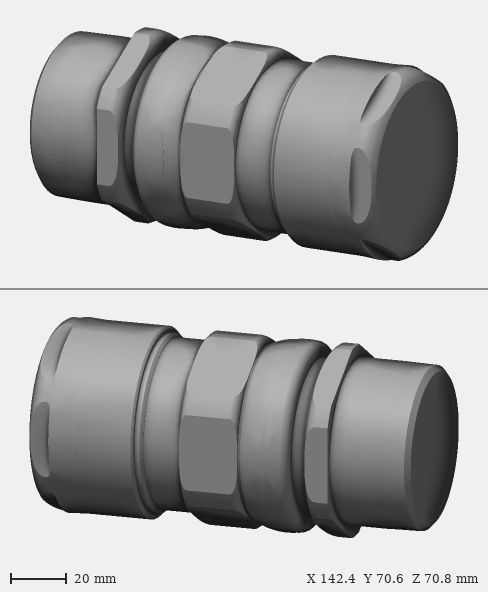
import cadquery as cq
import math


LENGTH = 142.4

QUARTER_TURN = 90
MIDDLE_FRONT = 135
MIDDLE_REAR = 45
MIDDLE_INNER_FRONT = 225

HEX_SIDES = 6
HEX_ACROSS_FLATS = 65.0
HEX_CORNER_DIAMETER = 70.8
HEX_CORNER_RADIUS = HEX_CORNER_DIAMETER / 2
HEX_FLAT_DISTANCE = HEX_ACROSS_FLATS / 2

SEAL_START = 28.9
FLANGE_START = 29.8
FLANGE_END = 38.7
COLLAR_START = 44.5
COLLAR_END = 62.8
NUT_START = 63.8
NUT_END = 85.6
REAR_SEAL_START = 99.4
SLEEVE_START = 102.4
CAP_START = 124.3

THREAD_RADIUS = 60.4 / 2
TIP_FACE_RADIUS = 55.7 / 2
TIP_RADIUS = 29.9
TIP_CHAMFER_LENGTH = 1.9
TAPER_END = 14.8
SEAL_BORE_RADIUS = 57.4 / 2
FLANGE_ROUND = 4.3
NECK_START_RADIUS = 28.2
NECK_WAIST_RADIUS = 27.8
NECK_WAIST = 40.5
NECK_END_RADIUS = 57.4 / 2

COLLAR_ROUND = 3.4
COLLAR_CROWN = 51.7
COLLAR_CROWN_DIAMETER = 69.8
COLLAR_CROWN_RADIUS = COLLAR_CROWN_DIAMETER / 2
COLLAR_ARC_RADIUS = 27.0
COLLAR_ARC_END = 62.0
COLLAR_END_RADIUS = 32.5
PAD_CENTRE = 53.8
PAD_WIDTH = 8.0
PAD_HEIGHT = 22.8
PAD_RAISE = 0.1

SHOULDER_RADIUS = 32.0
NUT_ROUND = 3.0
BARREL_RADIUS = 62.1 / 2
SPIGOT_RADIUS = 57.2 / 2

REAR_SEAL_RADIUS = 32.5
REAR_SEAL_CHAMFER = 1.1
SLEEVE_DIAMETER = 69.6
SLEEVE_RADIUS = SLEEVE_DIAMETER / 2
SLEEVE_CHAMFER = 0.7
CAP_CONE_START = 126.3
CAP_CONE_END = 135.8
CAP_FLAT_START = 133.9
CAP_FLAT_FILLET = 1.3
CAP_ROUND_RADIUS = 7.0


def spin(profile):
    """Solid of revolution about X from a closed half profile drawn as (x, radius)."""
    return profile.close().revolve(360, (0, 0, 0), (1, 0, 0))


def disc(start, end, radius):
    """Plain cylinder along X."""
    return cq.Workplane("YZ").workplane(offset=start).circle(radius).extrude(end - start)


def hex_prism(start, end):
    """Hexagonal prism along X with two flats facing +Y and -Y."""
    across_corners = HEX_ACROSS_FLATS / math.cos(math.pi / HEX_SIDES)
    prism = cq.Workplane("YZ").workplane(offset=start).polygon(HEX_SIDES, across_corners).extrude(end - start)
    return prism.rotate((0, 0, 0), (1, 0, 0), QUARTER_TURN)


def arc_point(centre_x, centre_radius, arc_radius, degrees):
    """Point on an arc, the angle counted from +X towards larger radius."""
    angle = math.radians(degrees)
    return (centre_x + arc_radius * math.cos(angle), centre_radius + arc_radius * math.sin(angle))


def rounded_hexagon(start, end, start_round, end_round):
    """Hexagon section with turned corners, rounded off at one or both ends."""
    top = HEX_CORNER_RADIUS
    profile = cq.Workplane("XY").moveTo(start, 0)
    if start_round:
        profile = profile.lineTo(start, top - start_round)
        middle = arc_point(start + start_round, top - start_round, start_round, MIDDLE_FRONT)
        profile = profile.threePointArc(middle, (start + start_round, top))
    else:
        profile = profile.lineTo(start, top)
    profile = profile.lineTo(end - end_round, top)
    middle = arc_point(end - end_round, top - end_round, end_round, MIDDLE_REAR)
    profile = profile.threePointArc(middle, (end, top - end_round)).lineTo(end, 0)
    return spin(profile).intersect(hex_prism(start, end))


def make_entry_body():
    """Threaded entry with chamfered tip, seal groove, hexagon flange and waisted neck."""
    thread = spin(
        cq.Workplane("XY")
        .polyline([
            (0, 0),
            (0, TIP_FACE_RADIUS),
            (TIP_CHAMFER_LENGTH, TIP_RADIUS),
            (TAPER_END, THREAD_RADIUS),
            (SEAL_START, THREAD_RADIUS),
            (SEAL_START, SEAL_BORE_RADIUS),
            (FLANGE_START, SEAL_BORE_RADIUS),
            (FLANGE_START, 0),
        ])
    )
    flange = rounded_hexagon(FLANGE_START, FLANGE_END, 0, FLANGE_ROUND)
    neck = spin(
        cq.Workplane("XY")
        .polyline([
            (FLANGE_END, 0),
            (FLANGE_END, NECK_START_RADIUS),
            (NECK_WAIST, NECK_WAIST_RADIUS),
            (COLLAR_START, NECK_END_RADIUS),
            (COLLAR_START, 0),
        ])
    )
    return thread.union(flange).union(neck)


def make_entry_seal():
    """Thin washer between the thread and the flange."""
    return disc(SEAL_START, FLANGE_START, THREAD_RADIUS).cut(
        disc(SEAL_START, FLANGE_START, SEAL_BORE_RADIUS)
    )


def crown_radius(x, raise_by):
    """Radius of the crowned collar surface, raised by a given amount, at x."""
    centre_depth = COLLAR_ARC_RADIUS - COLLAR_CROWN_RADIUS
    arc_radius = COLLAR_ARC_RADIUS + raise_by
    return math.sqrt(arc_radius ** 2 - (x - COLLAR_CROWN) ** 2) - centre_depth


def make_collar():
    """Crowned collar with a slightly raised elliptical pad on its -Y side."""
    round_end = COLLAR_START + COLLAR_ROUND
    round_end_radius = crown_radius(round_end, 0)
    round_base = round_end_radius - COLLAR_ROUND
    round_middle = arc_point(round_end, round_base, COLLAR_ROUND, MIDDLE_FRONT)
    ring = spin(
        cq.Workplane("XY")
        .moveTo(COLLAR_START, 0)
        .lineTo(COLLAR_START, round_base)
        .threePointArc(round_middle, (round_end, round_end_radius))
        .threePointArc(
            (PAD_CENTRE, crown_radius(PAD_CENTRE, 0)),
            (COLLAR_ARC_END, crown_radius(COLLAR_ARC_END, 0)),
        )
        .lineTo(COLLAR_END, COLLAR_END_RADIUS)
        .lineTo(COLLAR_END, 0)
    )
    pad_start = PAD_CENTRE - PAD_WIDTH / 2
    pad_end = PAD_CENTRE + PAD_WIDTH / 2
    raised_band = spin(
        cq.Workplane("XY")
        .moveTo(pad_start, 0)
        .lineTo(pad_start, crown_radius(pad_start, PAD_RAISE))
        .threePointArc(
            (PAD_CENTRE, crown_radius(PAD_CENTRE, PAD_RAISE)),
            (pad_end, crown_radius(pad_end, PAD_RAISE)),
        )
        .lineTo(pad_end, 0)
    )
    pad_outline = (
        cq.Workplane("XZ")
        .center(PAD_CENTRE, 0)
        .ellipse(PAD_WIDTH / 2, PAD_HEIGHT / 2)
        .extrude(HEX_CORNER_RADIUS)
    )
    return ring.union(raised_band.intersect(pad_outline))


def make_hexagon_body():
    """Hexagon with a front shoulder, a plain barrel and a spigot for the rear seal."""
    shoulder = disc(COLLAR_END, NUT_START, SHOULDER_RADIUS)
    hexagon = rounded_hexagon(NUT_START, NUT_END, NUT_ROUND, NUT_ROUND)
    barrel = disc(NUT_END, REAR_SEAL_START, BARREL_RADIUS)
    spigot = disc(REAR_SEAL_START, SLEEVE_START, SPIGOT_RADIUS)
    return shoulder.union(hexagon).union(barrel).union(spigot)


def make_rear_seal():
    """Ring on the spigot, chamfered towards the barrel."""
    ring = disc(REAR_SEAL_START, SLEEVE_START, REAR_SEAL_RADIUS).faces("<X").chamfer(REAR_SEAL_CHAMFER)
    return ring.cut(disc(REAR_SEAL_START, SLEEVE_START, SPIGOT_RADIUS))


def make_sleeve():
    """Plain sleeve with a chamfered front edge."""
    return disc(SLEEVE_START, CAP_START, SLEEVE_RADIUS).faces("<X").chamfer(SLEEVE_CHAMFER)


def make_cap():
    """Flaring cap with a rounded rear end and six milled flats."""
    round_centre_radius = HEX_CORNER_RADIUS - CAP_ROUND_RADIUS
    round_end_angle = math.degrees(math.acos((LENGTH - CAP_CONE_END) / CAP_ROUND_RADIUS))
    round_end = arc_point(CAP_CONE_END, round_centre_radius, CAP_ROUND_RADIUS, round_end_angle)
    round_middle_angle = (QUARTER_TURN + round_end_angle) / 2
    round_middle = arc_point(CAP_CONE_END, round_centre_radius, CAP_ROUND_RADIUS, round_middle_angle)
    blank = spin(
        cq.Workplane("XY")
        .moveTo(CAP_START, 0)
        .lineTo(CAP_START, SLEEVE_RADIUS)
        .lineTo(CAP_CONE_START, SLEEVE_RADIUS)
        .lineTo(CAP_CONE_END, HEX_CORNER_RADIUS)
        .threePointArc(round_middle, round_end)
        .lineTo(LENGTH, 0)
    )
    fillet_end = CAP_FLAT_START + CAP_FLAT_FILLET
    fillet_top = HEX_FLAT_DISTANCE + CAP_FLAT_FILLET
    cutter = (
        cq.Workplane("XY")
        .moveTo(LENGTH, HEX_FLAT_DISTANCE)
        .lineTo(fillet_end, HEX_FLAT_DISTANCE)
        .threePointArc(
            arc_point(fillet_end, fillet_top, CAP_FLAT_FILLET, MIDDLE_INNER_FRONT),
            (CAP_FLAT_START, fillet_top),
        )
        .lineTo(CAP_FLAT_START, HEX_ACROSS_FLATS)
        .lineTo(LENGTH, HEX_ACROSS_FLATS)
        .close()
        .extrude(HEX_FLAT_DISTANCE, both=True)
    )
    for flat in range(HEX_SIDES):
        blank = blank.cut(cutter.rotate((0, 0, 0), (1, 0, 0), 360 / HEX_SIDES * flat))
    return blank


entry_body = make_entry_body()
entry_seal = make_entry_seal()
collar = make_collar()
hexagon_body = make_hexagon_body()
rear_seal = make_rear_seal()
sleeve = make_sleeve()
cap = make_cap()

result = cq.Compound.makeCompound([
    entry_body.val(),
    entry_seal.val(),
    collar.val(),
    hexagon_body.val(),
    rear_seal.val(),
    sleeve.val(),
    cap.val(),
])